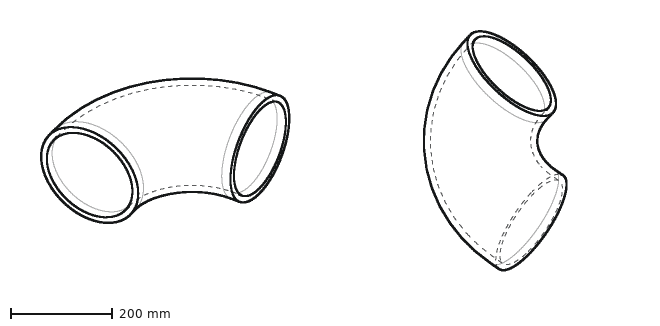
import cadquery as cq

overall_length = 357.5
outer_diameter = 225.0
inner_diameter = 198.0
bend_radius = 225.0

collar_length = overall_length - bend_radius - outer_diameter / 2


def ring(plane):
    """Annular pipe section centred on the origin of the given plane."""
    return cq.Workplane(plane).circle(outer_diameter / 2).circle(inner_diameter / 2)


bend_start = cq.Plane(origin=(0, collar_length, 0), xDir=(1, 0, 0), normal=(0, -1, 0))
bend_end = cq.Plane(
    origin=(bend_radius, collar_length + bend_radius, 0), xDir=(0, 1, 0), normal=(1, 0, 0)
)

bend = ring(bend_start).revolve(90, (bend_radius, 0, 0), (bend_radius, -1, 0))

front_collar = ring(bend_start).extrude(collar_length)
side_collar = ring(bend_end).extrude(collar_length)

result = bend.union(front_collar).union(side_collar)